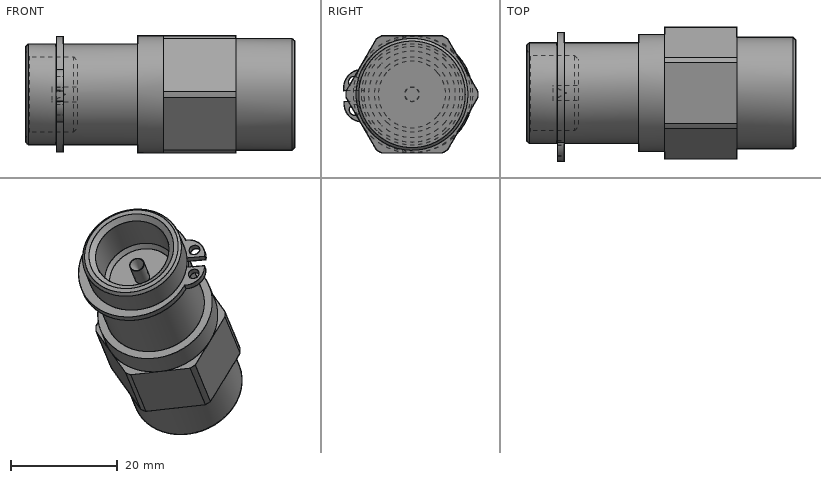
import cadquery as cq
import math

TOTAL_LENGTH = 50.5
GROOVE_START = 5.65
RING_START = 5.75
RING_END = 7.05
COLLAR_START = 21.0
HEX_START = 25.9
HEX_END = 39.45

BARREL_DIAMETER = 19.0
GROOVE_DIAMETER = 18.0
COLLAR_DIAMETER = 22.0
REAR_DIAMETER = 21.0
END_CHAMFER = 0.5

HEX_ACROSS_FLATS = COLLAR_DIAMETER
HEX_CORNER_DIAMETER = 24.8

MOUTH_DIAMETER = 16.25
BORE_DIAMETER = 14.1
FLOOR_DIAMETER = 12.55
MOUTH_DEPTH = 0.75
BORE_DEPTH = 9.0
FLOOR_DEPTH = 9.75

PIN_DIAMETER = 2.8
PIN_TIP_DEPTH = 4.95
PIN_RECESS_DIAMETER = 2.65
PIN_RECESS_DEPTH = 2.5

RING_DIAMETER = 21.7
RING_OFFSET = 0.55
RING_TURN = 1.5
LUG_RADIUS = 3.55
LUG_Y = -9.3
LUG_Z = 1.4
LUG_HOLE_DIAMETER = 2.0
LUG_HOLE_Y = -10.8
LUG_HOLE_Z = 2.65
RING_GAP = 2.0


def section_plane(x):
    """Plane across the axis; its local coordinates are global Y and Z."""
    return cq.Workplane("YZ", origin=(x, 0, 0))


def cylinder(diameter, start, end):
    return section_plane(start).circle(diameter / 2).extrude(end - start)


def revolve_about_axis(profile):
    """Revolve a closed profile of (axial position, radius) points about X."""
    return cq.Workplane("XY").polyline(profile).close().revolve(360, (0, 0, 0), (1, 0, 0))


def make_barrel():
    front = cylinder(BARREL_DIAMETER, 0, GROOVE_START).faces("<X").chamfer(END_CHAMFER)
    groove = cylinder(GROOVE_DIAMETER, GROOVE_START, RING_END)
    back = cylinder(BARREL_DIAMETER, RING_END, COLLAR_START)
    return front.union(groove).union(back)


def make_hexagon():
    length = HEX_END - HEX_START
    across_corners = HEX_ACROSS_FLATS / math.cos(math.radians(30))
    hexagon = section_plane(HEX_START).polygon(6, across_corners).extrude(length)
    return hexagon.intersect(cylinder(HEX_CORNER_DIAMETER, HEX_START, HEX_END))


def make_rear():
    return cylinder(REAR_DIAMETER, HEX_END, TOTAL_LENGTH).faces(">X").chamfer(END_CHAMFER)


def make_socket():
    return revolve_about_axis([
        (0, 0),
        (0, MOUTH_DIAMETER / 2),
        (MOUTH_DEPTH, BORE_DIAMETER / 2),
        (BORE_DEPTH, BORE_DIAMETER / 2),
        (FLOOR_DEPTH, FLOOR_DIAMETER / 2),
        (FLOOR_DEPTH, 0),
    ])


def make_pin():
    return revolve_about_axis([
        (PIN_TIP_DEPTH + PIN_RECESS_DEPTH, 0),
        (PIN_TIP_DEPTH, PIN_RECESS_DIAMETER / 2),
        (PIN_TIP_DEPTH, PIN_DIAMETER / 2),
        (FLOOR_DEPTH, PIN_DIAMETER / 2),
        (FLOOR_DEPTH, 0),
    ])


def make_ring():
    thickness = RING_END - RING_START
    plane = section_plane(RING_START)
    ring = plane.center(RING_OFFSET, 0).circle(RING_DIAMETER / 2).extrude(thickness)
    lugs = plane.pushPoints([(LUG_Y, LUG_Z), (LUG_Y, -LUG_Z)]).circle(LUG_RADIUS).extrude(thickness)
    hole_centers = [(LUG_HOLE_Y, LUG_HOLE_Z), (LUG_HOLE_Y, -LUG_HOLE_Z)]
    holes = plane.pushPoints(hole_centers).circle(LUG_HOLE_DIAMETER / 2).extrude(thickness)
    gap = plane.center(-RING_DIAMETER / 2, 0).rect(RING_DIAMETER, RING_GAP).extrude(thickness)
    bore = cylinder(GROOVE_DIAMETER, RING_START, RING_END)
    ring = ring.union(lugs).cut(holes).cut(gap).cut(bore)
    return ring.rotate((0, 0, 0), (1, 0, 0), RING_TURN)


collar = cylinder(COLLAR_DIAMETER, COLLAR_START, HEX_START)
body = make_barrel().union(collar).union(make_hexagon()).union(make_rear())
result = body.cut(make_socket()).union(make_pin()).union(make_ring())